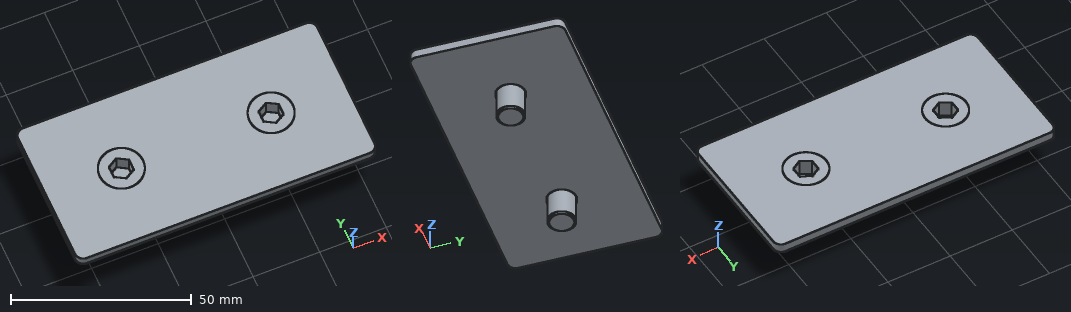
import cadquery as cq

plate_length = 90.0
plate_width = plate_length / 2
plate_thickness = 3.0
corner_radius = 2.5

screw_spacing = plate_length / 2
shank_diameter = 8.0
head_diameter = 13.0
head_height = plate_thickness / 2
screw_length = 11.5
tip_chamfer = 0.5
socket_across_flats = 6.0
socket_depth = 5.0

clearance_diameter = shank_diameter + 0.5

screw_positions = [(-screw_spacing / 2, 0), (screw_spacing / 2, 0)]


def make_plate():
    """Round-cornered plate with two counterbored holes."""
    return (
        cq.Workplane("XY")
        .rect(plate_length, plate_width)
        .extrude(plate_thickness)
        .edges("|Z")
        .fillet(corner_radius)
        .faces(">Z")
        .workplane(origin=(0, 0, plate_thickness))
        .pushPoints(screw_positions)
        .cboreHole(clearance_diameter, head_diameter, head_height)
    )


def make_screw(x, y):
    """Flat-headed screw with a hexagon socket and a chamfered tip."""
    head_top = cq.Workplane("XY", origin=(x, y, plate_thickness))
    shank = head_top.circle(shank_diameter / 2).extrude(-screw_length)
    shank = shank.faces("<Z").chamfer(tip_chamfer)
    head = head_top.circle(head_diameter / 2).extrude(-head_height)
    socket = head_top.polygon(6, socket_across_flats, circumscribed=True).extrude(-socket_depth)
    return shank.union(head).cut(socket)


plate = make_plate()
screws = [make_screw(x, y) for x, y in screw_positions]

result = cq.Compound.makeCompound([plate.val(), *[screw.val() for screw in screws]])